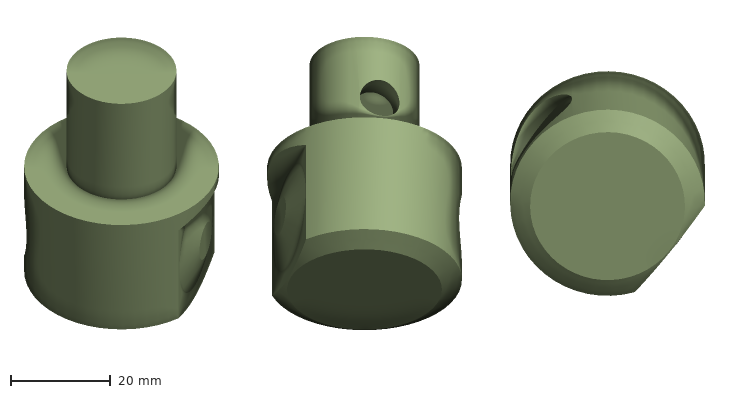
import cadquery as cq
import math

head_diameter = 39.0
head_height = 28.5
shank_diameter = 22.0
total_height = 52.5
cut_angle = math.radians(30)
bevel_width = 4.0
bevel_height = bevel_width * math.tan(cut_angle)

side_axis_height = 14.0

bore_diameter = 20.0
bore_depth = 3.0

flat_offset = 15.8
relief_top_height = 24.4
boss_base_diameter = 22.0
boss_tip_diameter = 7.8
boss_height = 1.9

pin_hole_diameter = 8.3
pin_hole_height = 38.5
pin_hole_depth = 5.0

head_radius = head_diameter / 2
shank_radius = shank_diameter / 2


def make_body():
    """Turned blank: bevelled head with a plain shank."""
    return (
        cq.Workplane("XZ")
        .moveTo(0, 0)
        .lineTo(head_radius - bevel_width, 0)
        .lineTo(head_radius, bevel_height)
        .lineTo(head_radius, head_height)
        .lineTo(shank_radius, head_height)
        .lineTo(shank_radius, total_height)
        .lineTo(0, total_height)
        .close()
        .revolve(360, (0, 0), (0, 1))
    )


def make_bore():
    """Cylinder removed from the -X side, down to its flat floor."""
    return (
        cq.Workplane("YZ", origin=(-head_radius, 0, side_axis_height))
        .circle(bore_diameter / 2)
        .extrude(bore_depth)
    )


def make_relief():
    """Material removed beyond the +X flat, under a sloping upper face."""
    slope_rise = (head_radius - flat_offset) * math.tan(cut_angle)
    return (
        cq.Workplane("XZ")
        .moveTo(flat_offset, 0)
        .lineTo(head_radius, 0)
        .lineTo(head_radius, relief_top_height + slope_rise)
        .lineTo(flat_offset, relief_top_height)
        .close()
        .extrude(head_radius, both=True)
    )


def make_boss():
    """Truncated cone standing on the +X flat."""
    return cq.Workplane(
        cq.Solid.makeCone(
            boss_base_diameter / 2,
            boss_tip_diameter / 2,
            boss_height,
            pnt=cq.Vector(flat_offset, 0, side_axis_height),
            dir=cq.Vector(1, 0, 0),
        )
    )


def make_pin_hole():
    """Cylinder removed from the +Y side of the shank."""
    return (
        cq.Workplane("XZ", origin=(0, shank_radius, pin_hole_height))
        .circle(pin_hole_diameter / 2)
        .extrude(pin_hole_depth)
    )


result = (
    make_body()
    .cut(make_bore())
    .cut(make_relief())
    .union(make_boss())
    .cut(make_pin_hole())
)